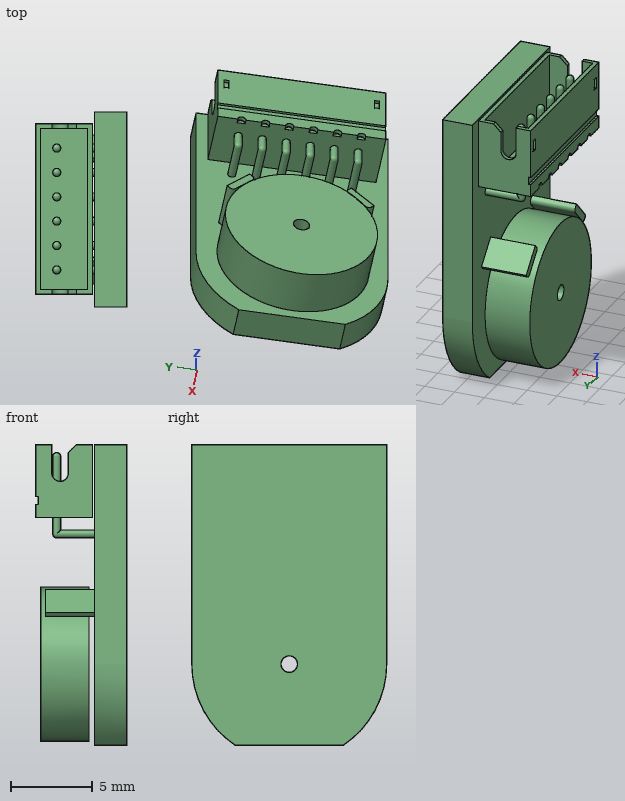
import cadquery as cq


BOARD_WIDTH = 12.0
BOARD_TOP = 13.5
BOARD_BOTTOM = -5.0
BOARD_THICKNESS = 2.0
SKIN_THICKNESS = 0.096

DISC_DIAMETER = 9.5
DISC_THICKNESS = 3.0
DISC_GAP = 0.31
SHAFT_HOLE_DIAMETER = 1.0

TERMINAL_WIDTH = 2.0
TERMINAL_THICKNESS = 0.5
TERMINAL_LENGTH = 3.0
TERMINAL_INNER_RADIUS = 5.0
TERMINAL_FILLET = 0.24
TERMINAL_ANGLES = (45, -45)

CONNECTOR_OFFSET = 0.028
HOUSING_DEPTH = 3.5
HOUSING_WIDTH = 10.5
HOUSING_HEIGHT = 4.5
HOUSING_GAP = 0.11
WALL = 0.3
HOUSING_FRONT = -HOUSING_GAP - HOUSING_DEPTH
HOUSING_BOTTOM = BOARD_TOP - HOUSING_HEIGHT

NOTCH_START = 1.0
NOTCH_WIDTH = 1.0
NOTCH_DEPTH = 2.25
NOTCH_LEAD_IN = 0.5

GROOVE_DEPTH = 0.15
GROOVE_TOP = 3.2
GROOVE_HEIGHT = 0.48
POCKET_DEPTH = 0.2
POCKET_WIDTH = 0.31
POCKET_HEIGHT = 0.7
POCKET_TOP = 0.89
POCKET_INSET = 0.55

PIN_COUNT = 6
PIN_PITCH = 1.5
PIN_DIAMETER = 0.5
PIN_RADIUS = PIN_DIAMETER / 2
PIN_SETBACK = 1.3
PIN_TIP_DROP = 0.48
PIN_BEND_DROP = 5.5
PIN_X = HOUSING_FRONT + PIN_SETBACK
PIN_Y = [(i - (PIN_COUNT - 1) / 2) * PIN_PITCH for i in range(PIN_COUNT)]


def block(x_range, y_range, z_range):
    """Box spanning the given (low, high) ranges."""
    lows, highs = zip(x_range, y_range, z_range)
    size = [high - low for low, high in zip(lows, highs)]
    return cq.Workplane("XY").box(*size, centered=False).translate(lows)


def rod_along_x(x_start, length, diameter, y=0, z=0):
    """Round rod running in +X from x_start."""
    return cq.Workplane("YZ", origin=(x_start, y, z)).circle(diameter / 2).extrude(length)


def board_layer(x_start, thickness):
    """Plate with a square top and a round bottom cut off by a flat."""
    radius = BOARD_WIDTH / 2
    flat_half = (radius**2 - BOARD_BOTTOM**2) ** 0.5
    diagonal = radius * 0.5**0.5
    return (
        cq.Workplane("YZ", origin=(x_start, 0, 0))
        .moveTo(-flat_half, BOARD_BOTTOM)
        .lineTo(flat_half, BOARD_BOTTOM)
        .threePointArc((diagonal, -diagonal), (radius, 0))
        .lineTo(radius, BOARD_TOP)
        .lineTo(-radius, BOARD_TOP)
        .lineTo(-radius, 0)
        .threePointArc((-diagonal, -diagonal), (-flat_half, BOARD_BOTTOM))
        .close()
        .extrude(thickness)
    )


def make_board():
    """Core between two thin skins, joined so that the skin lines stay on the edge of the board."""
    board = board_layer(SKIN_THICKNESS, BOARD_THICKNESS - 2 * SKIN_THICKNESS)
    for skin_start in (0, BOARD_THICKNESS - SKIN_THICKNESS):
        board = board.union(board_layer(skin_start, SKIN_THICKNESS), clean=False)
    return board.cut(rod_along_x(0, BOARD_THICKNESS, SHAFT_HOLE_DIAMETER), clean=False)


def make_disc():
    """Disc magnet with the shaft hole through it."""
    start = -DISC_GAP - DISC_THICKNESS
    disc = rod_along_x(start, DISC_THICKNESS, DISC_DIAMETER)
    return disc.cut(rod_along_x(start, DISC_THICKNESS, SHAFT_HOLE_DIAMETER))


def make_terminal(angle):
    """Flat terminal above the disc, turned about the disc axis, with rounded edges next to the disc."""
    half_width = TERMINAL_WIDTH / 2
    terminal = block(
        (-TERMINAL_LENGTH, 0),
        (-half_width, half_width),
        (TERMINAL_INNER_RADIUS, TERMINAL_INNER_RADIUS + TERMINAL_THICKNESS),
    )
    rounded = terminal.faces("<Z").edges("|X").fillet(TERMINAL_FILLET)
    return rounded.rotate((0, 0, 0), (1, 0, 0), angle)


def housing_notch():
    """Open-topped notch across the whole housing width, with a round bottom and a sloped lead-in."""
    left = HOUSING_FRONT + NOTCH_START
    right = left + NOTCH_WIDTH
    middle = (left + right) / 2
    bottom = BOARD_TOP - NOTCH_DEPTH
    arc_start_z = bottom + NOTCH_WIDTH / 2
    return (
        cq.Workplane("XZ", origin=(0, HOUSING_WIDTH / 2, 0))
        .moveTo(left, BOARD_TOP)
        .lineTo(left, arc_start_z)
        .threePointArc((middle, bottom), (right, arc_start_z))
        .lineTo(right, BOARD_TOP - NOTCH_LEAD_IN)
        .lineTo(right + NOTCH_LEAD_IN, BOARD_TOP)
        .close()
        .extrude(HOUSING_WIDTH)
    )


def make_housing():
    """Open-topped shroud with its end notches, front recesses and lead slots."""
    half_width = HOUSING_WIDTH / 2
    outside = block((HOUSING_FRONT, -HOUSING_GAP), (-half_width, half_width), (HOUSING_BOTTOM, BOARD_TOP))
    cavity = block(
        (HOUSING_FRONT + WALL, -HOUSING_GAP - WALL),
        (WALL - half_width, half_width - WALL),
        (HOUSING_BOTTOM + WALL, BOARD_TOP),
    )
    groove_top = BOARD_TOP - GROOVE_TOP
    groove = block(
        (HOUSING_FRONT, HOUSING_FRONT + GROOVE_DEPTH),
        (-half_width, half_width),
        (groove_top - GROOVE_HEIGHT, groove_top),
    )
    housing = outside.cut(cavity).cut(groove).cut(housing_notch())

    pocket_x = (HOUSING_FRONT, HOUSING_FRONT + POCKET_DEPTH)
    pocket_top = BOARD_TOP - POCKET_TOP
    for side in (-1, 1):
        center = side * (half_width - POCKET_INSET)
        pocket_y = (center - POCKET_WIDTH / 2, center + POCKET_WIDTH / 2)
        housing = housing.cut(block(pocket_x, pocket_y, (pocket_top - POCKET_HEIGHT, pocket_top)))

    for y in PIN_Y:
        housing = housing.cut(rod_along_x(HOUSING_FRONT, WALL, PIN_DIAMETER, y, HOUSING_BOTTOM))
    return housing


def make_pin(y):
    """Bent round pin: domed upright, ball-shaped bend and a leg that meets the board."""
    tip_center = BOARD_TOP - PIN_TIP_DROP - PIN_RADIUS
    bend_z = BOARD_TOP - PIN_BEND_DROP
    upright = cq.Workplane("XY", origin=(PIN_X, y, bend_z)).circle(PIN_RADIUS).extrude(tip_center - bend_z)
    pin = upright.union(rod_along_x(PIN_X, -PIN_X, PIN_DIAMETER, y, bend_z))
    for ball_z in (tip_center, bend_z):
        pin = pin.union(cq.Workplane("XY", origin=(PIN_X, y, ball_z)).sphere(PIN_RADIUS))
    return pin


def make_connector():
    """Housing with its six moulded-in pins as one body."""
    connector = make_housing()
    for y in PIN_Y:
        connector = connector.union(make_pin(y))
    return connector.translate((0, CONNECTOR_OFFSET, 0))


board = make_board()
disc = make_disc()
connector = make_connector()
terminals = [make_terminal(angle) for angle in TERMINAL_ANGLES]

result = cq.Compound.makeCompound(
    [board.val(), disc.val(), connector.val(), *[terminal.val() for terminal in terminals]]
)